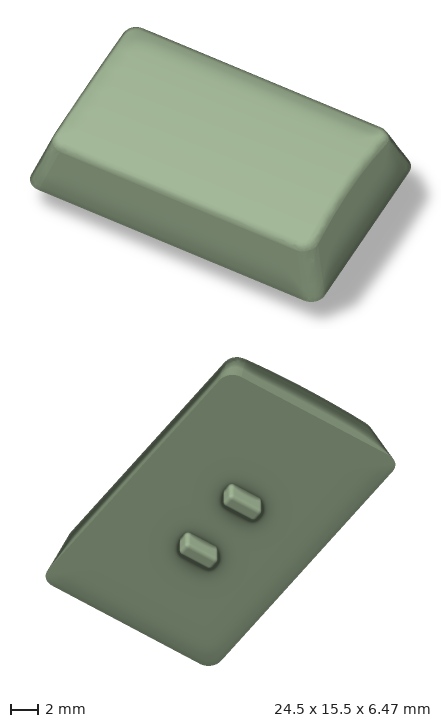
import cadquery as cq
import math

length = 24.5
width = 15.5
total_height = 6.47

leg_height = 1.5
cap_height = total_height - leg_height
wall_draft = 16.9
corner_radius = 1.2
crown_half_width = 6.12
crown_drop = 0.64
crown_radius = (crown_half_width**2 + crown_drop**2) / (2 * crown_drop)
crown_edge_radius = 0.69

leg_spacing = 5.68
leg_thickness = 1.15
leg_width = 2.9
leg_side_radius = 0.32
leg_tip_radius = 0.3


def tapered_block():
    """Rectangular block with drafted walls and evenly rounded corner edges."""
    inset = cap_height * math.tan(math.radians(wall_draft))
    block = (
        cq.Workplane("XY")
        .rect(length, width)
        .workplane(offset=cap_height)
        .rect(length - 2 * inset, width - 2 * inset)
        .loft(ruled=True)
    )
    return block.edges("not(#Z or |X or |Y)").fillet(corner_radius)


def crown_cylinder():
    """Cylinder along X whose upper surface forms the crowned top."""
    return (
        cq.Workplane("YZ")
        .center(0, cap_height - crown_radius)
        .circle(crown_radius)
        .extrude(length / 2, both=True)
    )


def keycap():
    crowned = tapered_block().intersect(crown_cylinder())
    return crowned.faces(">Z").edges().fillet(crown_edge_radius)


def leg(x):
    """Leg below the cap, rounded on its upright and bottom edges."""
    post = (
        cq.Workplane("XY")
        .center(x, 0)
        .rect(leg_thickness, leg_width)
        .extrude(-leg_height)
    )
    rounded = post.edges("|Z").fillet(leg_side_radius)
    return rounded.faces("<Z").edges().fillet(leg_tip_radius)


result = keycap()
for side in (-1, 1):
    result = result.union(leg(side * leg_spacing / 2))